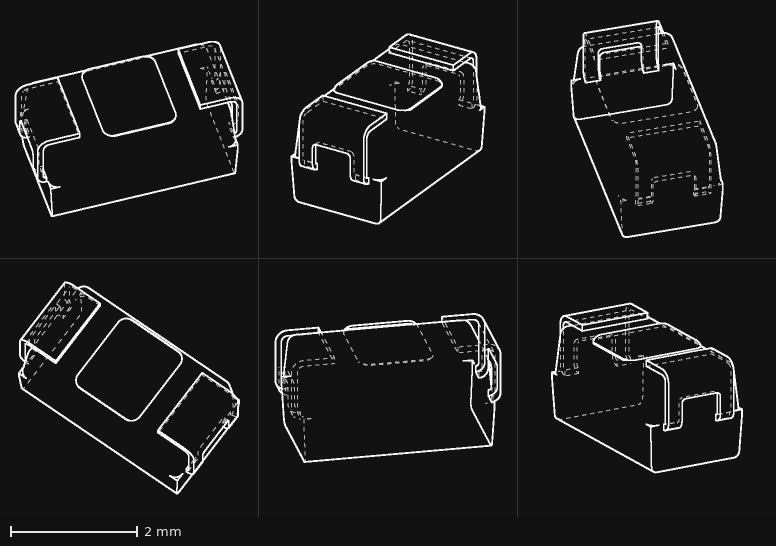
import cadquery as cq
import math

body_width = 1.68
body_length = 3.1
band_bottom = 0.7
band_height = 0.1
lid_top = 1.59
base_draft = 3.0
lid_draft = 5.0
base_edge_radius = 0.1
lid_edge_radius = 0.15

pad_flat_width = 1.112
pad_flat_length = 0.91
pad_top = 1.695
pad_edge_radius = 0.16
pad_corner_radius = 0.17

overall_length = 3.4
overall_height = 1.71
terminal_width = 1.2
terminal_thickness = 0.1
top_bend_radius = 0.2
top_leg_length = 0.7
window_width = 0.707
window_top = 1.217
window_corner_radius = 0.075

bottom_bend_radius = overall_length / 2 - body_length / 2
band_top = band_bottom + band_height


def make_base():
    """Lower body, narrowing downwards, with its two long bottom edges rounded."""
    base = (
        cq.Workplane("XY", origin=(0, 0, band_bottom))
        .rect(body_width, body_length)
        .extrude(-band_bottom, taper=base_draft)
    )
    return base.faces("<Z").edges("|Y").fillet(base_edge_radius)


def make_band():
    """Straight-sided band between the base and the lid."""
    return (
        cq.Workplane("XY", origin=(0, 0, band_bottom))
        .rect(body_width, body_length)
        .extrude(band_height)
    )


def make_lid():
    """Upper body, narrowing upwards, with rounded corners and top edges."""
    lid = (
        cq.Workplane("XY", origin=(0, 0, band_top))
        .rect(body_width, body_length)
        .extrude(lid_top - band_top, taper=lid_draft)
    )
    return lid.faces("not <Z").edges("not <Z").fillet(lid_edge_radius)


def make_pad():
    """Raised pad on a straight foot that reaches into the lid past its rounded edges."""
    block = (
        cq.Workplane("XY", origin=(0, 0, band_top))
        .rect(pad_flat_width + 2 * pad_edge_radius, pad_flat_length + 2 * pad_edge_radius)
        .extrude(pad_top - band_top)
        .edges("|Z")
        .fillet(pad_corner_radius)
        .faces(">Z")
        .edges()
        .fillet(pad_edge_radius)
    )
    cap = block.copyWorkplane(cq.Workplane("XY", origin=(0, 0, lid_top))).split(keepTop=True)
    foot = cap.faces("<Z").wires().toPending().extrude(band_top - lid_top, combine=False)
    return cap.union(foot)


def make_terminal():
    """Strip at the -Y end: out of the band, up the end and back over the lid."""
    outer_y = -overall_length / 2
    inner_y = outer_y + terminal_thickness
    body_y = outer_y + bottom_bend_radius
    top_bend_y = outer_y + top_bend_radius
    tip_y = outer_y + top_leg_length
    top_bend_z = overall_height - top_bend_radius
    bottom_bend_z = band_bottom + bottom_bend_radius
    under_top_z = overall_height - terminal_thickness
    inner_top_radius = top_bend_radius - terminal_thickness
    inner_bottom_radius = bottom_bend_radius - terminal_thickness
    diagonal = math.sqrt(0.5)

    def bend_middle(centre_y, centre_z, radius, up):
        return (centre_y - radius * diagonal, centre_z + up * radius * diagonal)

    strip = (
        cq.Workplane("YZ", origin=(-terminal_width / 2, 0, 0))
        .moveTo(body_y, band_bottom)
        .threePointArc(
            bend_middle(body_y, bottom_bend_z, bottom_bend_radius, -1),
            (outer_y, bottom_bend_z),
        )
        .lineTo(outer_y, top_bend_z)
        .threePointArc(
            bend_middle(top_bend_y, top_bend_z, top_bend_radius, 1),
            (top_bend_y, overall_height),
        )
        .lineTo(tip_y, overall_height)
        .lineTo(tip_y, under_top_z)
        .lineTo(top_bend_y, under_top_z)
        .threePointArc(
            bend_middle(top_bend_y, top_bend_z, inner_top_radius, 1),
            (inner_y, top_bend_z),
        )
        .lineTo(inner_y, bottom_bend_z)
        .threePointArc(
            bend_middle(body_y, bottom_bend_z, inner_bottom_radius, -1),
            (body_y, band_top),
        )
        .close()
        .extrude(terminal_width)
    )
    window = (
        cq.Workplane("XY")
        .box(window_width, overall_length - body_length, window_top, centered=(True, True, False))
        .edges("|Y and >Z")
        .fillet(window_corner_radius)
        .translate((0, outer_y, 0))
    )
    return strip.cut(window)


terminal = make_terminal()
result = make_base().union(make_band()).union(make_lid()).union(make_pad())
for end_angle in (0, 180):
    result = result.union(terminal.rotate((0, 0, 0), (0, 0, 1), end_angle))